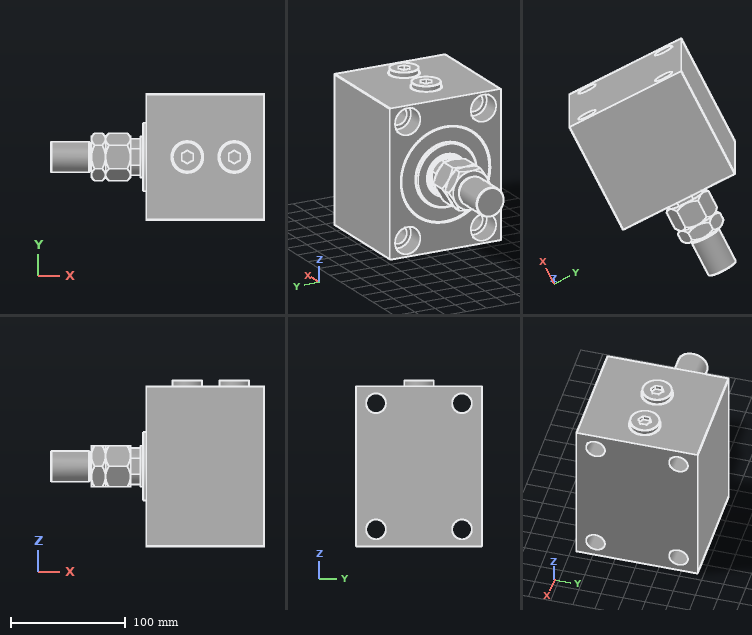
import cadquery as cq
import math


housing_length = 103.0
housing_width = 110.0
housing_height = 140.0
edge_chamfer = 0.5
top_z = housing_height / 2

bolt_spacing_y = 75.0
bolt_spacing_z = 110.0
bolt_hole_diameter = 17.0
bolt_head_diameter = 25.0
bolt_head_depth = 17.5

gland_diameter = 87.0
gland_depth = 20.0
gland_seat_chamfer = 1.0
flange_diameter = 60.0
flange_thickness = 3.0
flange_chamfer = 1.2
wiper_recess_diameter = 39.4
wiper_recess_depth = 1.0

plug_positions_x = (36.0, 77.0)
plug_diameter = 26.0
plug_height = 5.0
plug_chamfer = 0.4
plug_socket_flats = 10.0
plug_socket_depth = 4.0
spotface_diameter = 28.0
spotface_depth = 0.1

rod_diameter = 36.0
rod_chamfer = 0.5
rod_shoulder_x = -5.0
neck_diameter = 35.0
neck_flats = 32.0
neck_length = 8.5
rod_hex_length = 21.8

stud_tip_x = -83.0
stud_diameter = 27.0
stud_tip_chamfer = 0.6
thread_length = 33.0
thread_runout = 1.0
undercut_diameter = stud_diameter - 2 * thread_runout

hex_flats = 36.0
hex_face_diameter = 35.8

neck_start_x = rod_shoulder_x - neck_length
hex_joint_x = neck_start_x - rod_hex_length
stud_hex_length = 12.4
stud_hex_x = hex_joint_x - stud_hex_length


def cylinder_x(start_x, end_x, diameter):
    """Cylinder along the rod axis between two x positions."""
    return cq.Workplane("YZ", origin=(start_x, 0, 0)).circle(diameter / 2).extrude(end_x - start_x)


def hexagon_corners(flats):
    """Diameter of the circle through the corners of a hexagon, from its width across flats."""
    return flats / math.cos(math.pi / 6)


def chamfered_hexagon(start_x, length):
    """Hexagonal prism along the rod axis, corners at +Y and -Y, turned to 45 degrees at both ends."""
    corner_diameter = hexagon_corners(hex_flats)
    corner_chamfer = (corner_diameter - hex_face_diameter) / 2
    prism = cq.Workplane("YZ", origin=(start_x, 0, 0)).polygon(6, corner_diameter).extrude(length)
    turned = cylinder_x(start_x, start_x + length, corner_diameter).edges().chamfer(corner_chamfer)
    return prism.intersect(turned)


def make_housing():
    block = cq.Workplane("XY").box(housing_length, housing_width, housing_height)
    block = block.translate((housing_length / 2, 0, 0)).edges("|X").chamfer(edge_chamfer)

    front = cq.Workplane("YZ")
    bolt_grid = front.rarray(bolt_spacing_y, bolt_spacing_z, 2, 2)
    block = block.cut(bolt_grid.circle(bolt_hole_diameter / 2).extrude(housing_length))
    block = block.cut(bolt_grid.circle(bolt_head_diameter / 2).extrude(bolt_head_depth))

    seat_radius = gland_diameter / 2
    mouth_radius = seat_radius + gland_seat_chamfer
    seat_mouth = cq.Solid.makeCone(
        mouth_radius, seat_radius, gland_seat_chamfer, cq.Vector(0, 0, 0), cq.Vector(1, 0, 0)
    )
    block = block.cut(cylinder_x(0, gland_depth, gland_diameter))
    block = block.cut(cq.Workplane(seat_mouth))

    for plug_x in plug_positions_x:
        spotface = cq.Workplane("XY", origin=(plug_x, 0, top_z - spotface_depth))
        block = block.cut(spotface.circle(spotface_diameter / 2).extrude(spotface_depth))
    return block


def make_gland():
    disc = cylinder_x(0, gland_depth, gland_diameter)
    flange = cylinder_x(-flange_thickness, 0, flange_diameter).faces("<X").chamfer(flange_chamfer)
    recess_end_x = wiper_recess_depth - flange_thickness
    gland = disc.union(flange)
    gland = gland.cut(cylinder_x(-flange_thickness, gland_depth, rod_diameter))
    return gland.cut(cylinder_x(-flange_thickness, recess_end_x, wiper_recess_diameter))


def make_rod():
    shaft = cylinder_x(rod_shoulder_x, gland_depth, rod_diameter).faces("<X").chamfer(rod_chamfer)
    flats = cq.Workplane("YZ", origin=(neck_start_x, 0, 0)).rect(neck_flats, neck_flats).extrude(neck_length)
    neck = cylinder_x(neck_start_x, rod_shoulder_x, neck_diameter).intersect(flats)
    return shaft.union(neck).union(chamfered_hexagon(hex_joint_x, rod_hex_length))


def make_stud():
    thread_end_x = stud_tip_x + thread_length
    thread = cylinder_x(stud_tip_x, thread_end_x + thread_runout, stud_diameter)
    thread = thread.faces("<X").chamfer(stud_tip_chamfer)
    thread = thread.faces(">X").chamfer(thread_runout)
    undercut = cylinder_x(thread_end_x, stud_hex_x, undercut_diameter)
    return thread.union(undercut).union(chamfered_hexagon(stud_hex_x, stud_hex_length))


def make_plug(plug_x):
    """Round plug head with a hexagon socket, corners of the socket at +Y and -Y."""
    base = cq.Workplane("XY", origin=(plug_x, 0, top_z - spotface_depth))
    plug = base.circle(plug_diameter / 2).extrude(plug_height).faces(">Z").chamfer(plug_chamfer)
    socket = cq.Workplane("XY").polygon(6, hexagon_corners(plug_socket_flats)).extrude(plug_socket_depth)
    socket = socket.rotate((0, 0, 0), (0, 0, 1), 90)
    socket_floor_z = top_z - spotface_depth + plug_height - plug_socket_depth
    return plug.cut(socket.translate((plug_x, 0, socket_floor_z)))


housing = make_housing()
gland = make_gland()
rod = make_rod()
stud = make_stud()
plugs = [make_plug(plug_x) for plug_x in plug_positions_x]

result = cq.Compound.makeCompound(
    [housing.val(), gland.val(), rod.val(), stud.val(), *[plug.val() for plug in plugs]]
)